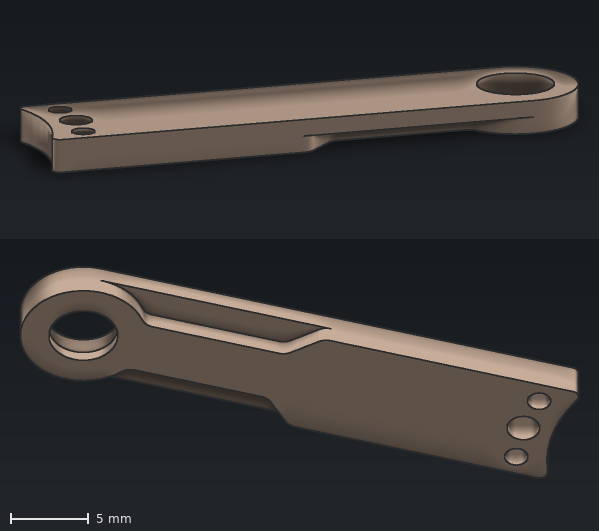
import cadquery as cq
import math

length = 36.25
width = 8.1
thickness = 2.2
half_width = width / 2
eye_y = length - half_width

corner_radius = 0.5
end_hollow = 0.7

eye_bore = 4.42
eye_counterbore = 5.0
counterbore_depth = 1.5

middle_hole = 2.1
middle_hole_y = 2.65
side_hole = 1.5
side_hole_y = 2.35
side_hole_x = 2.6

waist_height = thickness / 2
waist_half_width = width / 4
blend_radius = 1.0
shoulder_y = 16.78


def half_end():
    """Outline of the +X half of the concave end, from the midline to the side edge."""
    corner_x = half_width - corner_radius
    rise = end_hollow - corner_radius
    hollow_radius = (corner_x**2 + rise**2 - corner_radius**2) / (2 * end_hollow)
    hollow_center_y = end_hollow - hollow_radius
    share = hollow_radius / (hollow_radius + corner_radius)
    touch = (corner_x * share, hollow_center_y + (corner_radius - hollow_center_y) * share)
    return (
        cq.Workplane("XY")
        .moveTo(0, end_hollow)
        .radiusArc(touch, hollow_radius)
        .tangentArcPoint((half_width, corner_radius), relative=False)
    )


def upper_half():
    """+X half of the upper layer, with a straight side up to the eye."""
    return (
        half_end()
        .lineTo(half_width, eye_y)
        .tangentArcPoint((0, length), relative=False)
        .close()
        .extrude(thickness - waist_height)
        .translate((0, 0, waist_height))
    )


def lower_half():
    """+X half of the lower layer, with a 45 degree shoulder, a waist and the round eye."""
    depth = half_width - waist_half_width
    sin45 = math.sqrt(0.5)
    blend_along = blend_radius * sin45
    blend_across = blend_radius * (1 - sin45)
    slope = depth - 2 * blend_across

    slope_outer = (half_width - blend_across, shoulder_y + blend_along)
    slope_inner = (slope_outer[0] - slope, slope_outer[1] + slope)
    waist_start = (waist_half_width, slope_inner[1] + blend_along)

    blend_x = waist_half_width + blend_radius
    blend_drop = math.sqrt((half_width + blend_radius) ** 2 - blend_x**2)
    eye_share = half_width / (half_width + blend_radius)
    waist_end = (waist_half_width, eye_y - blend_drop)
    eye_touch = (blend_x * eye_share, eye_y - blend_drop * eye_share)
    return (
        half_end()
        .lineTo(half_width, shoulder_y)
        .tangentArcPoint(slope_outer, relative=False)
        .lineTo(*slope_inner)
        .tangentArcPoint(waist_start, relative=False)
        .lineTo(*waist_end)
        .tangentArcPoint(eye_touch, relative=False)
        .tangentArcPoint((0, length), relative=False)
        .close()
        .extrude(waist_height)
    )


def round_hole(x, y, diameter, floor=0):
    """Vertical cylinder from the floor height up to the top face."""
    return (
        cq.Workplane("XY", origin=(x, y, floor))
        .circle(diameter / 2)
        .extrude(thickness - floor)
    )


half_bar = upper_half().union(lower_half())
result = half_bar.union(half_bar.mirror("YZ")).clean()

result = result.cut(round_hole(0, eye_y, eye_bore))
result = result.cut(round_hole(0, eye_y, eye_counterbore, thickness - counterbore_depth))

result = result.cut(round_hole(0, middle_hole_y, middle_hole))
for side in (-1, 1):
    result = result.cut(round_hole(side * side_hole_x, side_hole_y, side_hole))